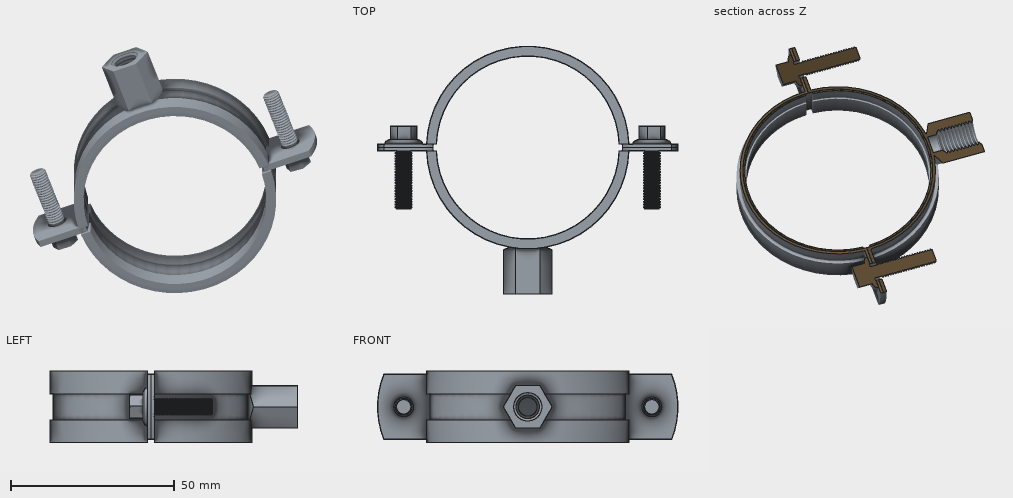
import cadquery as cq
import math


LINER_OUTER_R = 31.0
LINER_THICKNESS = 3.0
LINER_WIDTH = 22.0
LINER_INNER_R = LINER_OUTER_R - LINER_THICKNESS
GROOVE_WIDTH = 8.0
INNER_GROOVE_DEPTH = 0.5

STRAP_THICKNESS = 1.0
STRAP_WIDTH = 20.0
LIP_THICKNESS = (LINER_THICKNESS - STRAP_THICKNESS) / 2
STRAP_OUTER_R = LINER_OUTER_R - LIP_THICKNESS
STRAP_INNER_R = STRAP_OUTER_R - STRAP_THICKNESS
EAR_REACH = 46.0
EAR_END_SAG = 1.9
EAR_HOLE_R = 3.0

BOSS_END_Y = -44.9
BOSS_FLATS = 13.0
BOSS_CORNER_R = BOSS_FLATS / math.sqrt(3)
BOSS_BEVEL_START_Y = -31.4
BOSS_BEVEL_RUN = 4.05
BOSS_BEVEL_RISE = 1.9
BOSS_THREAD_ROOT_R = 4.3
BOSS_THREAD_CREST_R = 3.6
BOSS_THREAD_PITCH = 1.1
BOSS_THREAD_TURNS = 11
BOSS_BOTTOM_R = 2.85

BOLT_X = 38.0
BOLT_HEAD_FLATS = 7.0
BOLT_HEAD_TOP = 5.5
BOLT_FLANGE_R = 5.8
BOLT_FLANGE_HEIGHT = 1.5
BOLT_FLANGE_TOP_R = 4.3
BOLT_SHOULDER_R = 5.2
BOLT_SHOULDER_HEIGHT = 1.0
BOLT_RIM_BULGE_R = 5.7
BOLT_RIM_BULGE_HEIGHT = 0.55
BOLT_NECK_R = 2.2
BOLT_NECK_LENGTH = 2.2
BOLT_THREAD_R = 2.6
BOLT_THREAD_PITCH = 0.8
BOLT_THREAD_TURNS = 21
BOLT_TIP_LENGTH = 0.3
BOLT_HEAD_TURNS = {-1: -3.4, 1: -10.0}


def disc(radius, width):
    """Solid disc on the pipe axis, centred on Z = 0."""
    return cq.Workplane("XY", origin=(0, 0, -width / 2)).circle(radius).extrude(width)


def ring(outer_r, inner_r, width):
    """Tube on the pipe axis, centred on Z = 0."""
    return disc(outer_r, width).cut(disc(inner_r, width))


def back_half(body, start_y):
    """Keep the part of a body with Y above start_y."""
    keep = cq.Workplane("XY").box(
        2 * EAR_REACH, LINER_OUTER_R, LINER_WIDTH, centered=(True, False, True)
    )
    return body.intersect(keep.translate((0, start_y, 0)))


def front_half(body):
    """Mirror a back half across the split plane."""
    return body.mirror("XZ")


def make_liner():
    """Half liner whose lips wrap around both edges of the strap."""
    liner = ring(LINER_OUTER_R, LINER_INNER_R, LINER_WIDTH)
    liner = liner.cut(ring(STRAP_OUTER_R, STRAP_INNER_R, STRAP_WIDTH))
    liner = liner.cut(ring(LINER_OUTER_R, STRAP_OUTER_R, GROOVE_WIDTH))
    liner = liner.cut(disc(LINER_INNER_R + INNER_GROOVE_DEPTH, GROOVE_WIDTH))
    return back_half(liner, STRAP_THICKNESS)


def make_ears():
    """Flat ears on both sides, with arc ends and bolt clearance holes."""
    half_width = STRAP_WIDTH / 2
    corner_x = EAR_REACH - EAR_END_SAG
    plate = (
        cq.Workplane("XZ")
        .moveTo(-corner_x, -half_width)
        .lineTo(corner_x, -half_width)
        .threePointArc((EAR_REACH, 0), (corner_x, half_width))
        .lineTo(-corner_x, half_width)
        .threePointArc((-EAR_REACH, 0), (-corner_x, -half_width))
        .close()
        .extrude(-STRAP_THICKNESS)
    )
    holes = (
        cq.Workplane("XZ")
        .pushPoints([(-BOLT_X, 0), (BOLT_X, 0)])
        .circle(EAR_HOLE_R)
        .extrude(-STRAP_THICKNESS)
    )
    return plate.cut(disc(STRAP_INNER_R, STRAP_WIDTH)).cut(holes)


def make_strap():
    """Half strap with an ear at each end."""
    band = back_half(ring(STRAP_OUTER_R, STRAP_INNER_R, STRAP_WIDTH), 0)
    return band.union(make_ears())


def hexagon(flats, turn=0.0):
    """Hexagon on the XZ plane with corners on X, turned about Y."""
    across_corners = 2 * flats / math.sqrt(3)
    return cq.Workplane("XZ").transformed(rotate=(0, 0, turn)).polygon(6, across_corners)


def revolve_about_y(points):
    """Solid of revolution about Y from a closed half outline."""
    return cq.Workplane("XY").polyline(points).close().revolve(360, (0, 0, 0), (0, 1, 0))


def make_boss_blank():
    """Hexagonal bar fitted to the strap, its two side corners bevelled at the strap end."""
    bar = hexagon(BOSS_FLATS).extrude(-BOSS_END_Y)
    inner_x = BOSS_CORNER_R - BOSS_BEVEL_RUN
    inner_y = BOSS_BEVEL_START_Y + BOSS_BEVEL_RISE
    envelope = (
        cq.Workplane("XY", origin=(0, 0, -BOSS_FLATS / 2))
        .polyline([
            (-BOSS_CORNER_R, BOSS_END_Y),
            (BOSS_CORNER_R, BOSS_END_Y),
            (BOSS_CORNER_R, BOSS_BEVEL_START_Y),
            (inner_x, inner_y),
            (-inner_x, inner_y),
            (-BOSS_CORNER_R, BOSS_BEVEL_START_Y),
        ])
        .close()
        .extrude(BOSS_FLATS)
    )
    return bar.intersect(envelope).cut(disc(STRAP_OUTER_R, LINER_WIDTH))


def thread_points(start_r, far_r, start_y, pitch, turns):
    """Outline of ring-shaped teeth along +Y or -Y, with flats and flanks of equal length."""
    quarter = pitch / 4
    points = []
    for turn in range(turns):
        turn_y = start_y + turn * pitch
        points.append((start_r, turn_y))
        points.append((start_r, turn_y + quarter))
        points.append((far_r, turn_y + 2 * quarter))
        points.append((far_r, turn_y + 3 * quarter))
    return points


def make_boss_bore():
    """Blind threaded bore, ending at the strap with a narrower bottom."""
    points = [(0, BOSS_END_Y)] + thread_points(
        BOSS_THREAD_ROOT_R, BOSS_THREAD_CREST_R, BOSS_END_Y, BOSS_THREAD_PITCH, BOSS_THREAD_TURNS
    )
    thread_end_y = BOSS_END_Y + BOSS_THREAD_TURNS * BOSS_THREAD_PITCH
    points.append((BOSS_BOTTOM_R, thread_end_y))
    points.append((BOSS_BOTTOM_R, -STRAP_INNER_R))
    points.append((0, -STRAP_INNER_R))
    return revolve_about_y(points).cut(disc(STRAP_OUTER_R, LINER_WIDTH))


def make_bolt_flange():
    """Round flange with a bulging rim and a conical top."""
    return (
        cq.Workplane("XY")
        .lineTo(BOLT_FLANGE_R, 0)
        .threePointArc(
            (BOLT_RIM_BULGE_R, BOLT_RIM_BULGE_HEIGHT),
            (BOLT_SHOULDER_R, BOLT_SHOULDER_HEIGHT),
        )
        .lineTo(BOLT_FLANGE_TOP_R, BOLT_FLANGE_HEIGHT)
        .lineTo(0, BOLT_FLANGE_HEIGHT)
        .close()
        .revolve(360, (0, 0, 0), (0, 1, 0))
    )


def make_bolt(side):
    """Flanged bolt pointing to -Y, its flange seated on the back ear."""
    seat_y = STRAP_THICKNESS
    head = hexagon(BOLT_HEAD_FLATS, BOLT_HEAD_TURNS[side]).extrude(-BOLT_HEAD_TOP)
    thread_end_y = -BOLT_NECK_LENGTH - BOLT_THREAD_TURNS * BOLT_THREAD_PITCH
    tip_y = thread_end_y - BOLT_TIP_LENGTH
    shank = revolve_about_y([
        (0, 0),
        (BOLT_NECK_R, 0),
        *thread_points(
            BOLT_NECK_R, BOLT_THREAD_R, -BOLT_NECK_LENGTH, -BOLT_THREAD_PITCH, BOLT_THREAD_TURNS
        ),
        (BOLT_NECK_R, thread_end_y),
        (BOLT_NECK_R, tip_y),
        (0, tip_y),
    ])

    return head.union(make_bolt_flange()).union(shank).translate((side * BOLT_X, seat_y, 0))


boss_blank = make_boss_blank()

back_strap = make_strap()
front_strap = front_half(make_strap()).union(boss_blank).cut(make_boss_bore())

back_liner = make_liner()
front_liner = front_half(make_liner()).cut(boss_blank)

bolts = [make_bolt(side) for side in (-1, 1)]

result = cq.Compound.makeCompound([
    back_strap.val(),
    front_strap.val(),
    back_liner.val(),
    front_liner.val(),
    *[bolt.val() for bolt in bolts],
])